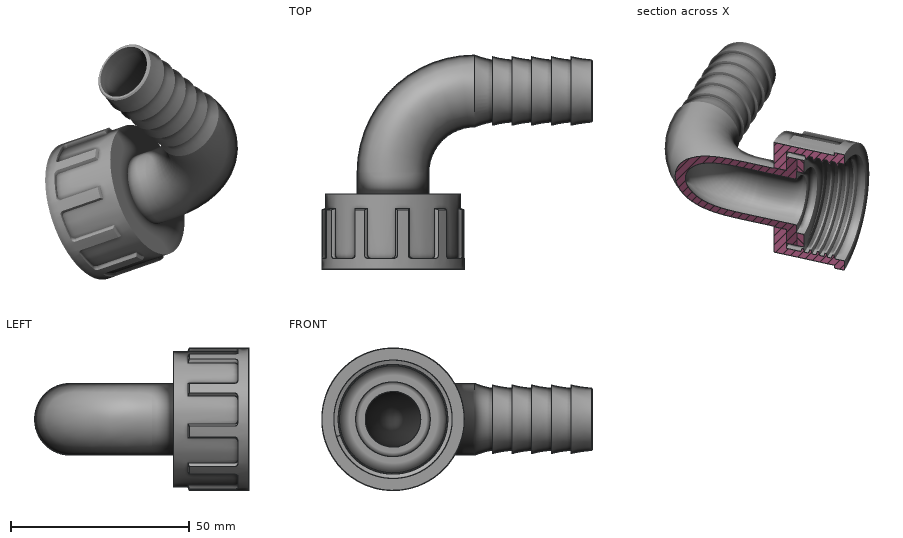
import cadquery as cq
import math


TOTAL_LENGTH = 76.0
TOTAL_DEPTH = 60.1

NUT_LENGTH = 21.2
NUT_RADIUS = 38.0 / 2
GRIP_RADIUS = 40.0 / 2
RIM_LENGTH = 3.1
RIB_END = 17.1
RIB_END_TAPER = 0.4
RIB_COUNT = 10
RIB_STEP = 360.0 / RIB_COUNT
RIB_OFFSET = 8.0
RIB_TOP_WIDTH = 3.05
RIB_BASE_WIDTH = 3.9
RIB_CORNER_FILLET = 0.9

THREAD_MAJOR_RADIUS = 33.2 / 2
THREAD_MINOR_RADIUS = 30.8 / 2
THREAD_PITCH = 2.3
THREAD_TURNS = 5.0
THREAD_START = 1.6
THREAD_START_ANGLE = 197.0
RIDGE_CREST_WIDTH = 0.45
RIDGE_ROOT_WIDTH = 1.4
RIDGE_ROOT_SINK = 0.15

WASHER_RADIUS = 30.0 / 2
WASHER_BORE_RADIUS = 21.0 / 2
WASHER_FACE = 12.1
WASHER_THICKNESS = 2.2

PIPE_RADIUS = 20.15 / 2
PIPE_BORE_RADIUS = 15.6 / 2
BEND_RADIUS = 22.9
TAIL_AXIS_Y = TOTAL_DEPTH - PIPE_RADIUS
FLANGE_THICKNESS = 3.05
FLANGE_RADIUS = WASHER_RADIUS
FLANGE_FACE = WASHER_FACE + WASHER_THICKNESS
FLANGE_BACK = FLANGE_FACE + FLANGE_THICKNESS

TAIL_END = TOTAL_LENGTH - GRIP_RADIUS
BARB_COUNT = 5
FIRST_BARB = 27.9
LAST_BARB = 49.9
BARB_PITCH = (LAST_BARB - FIRST_BARB) / (BARB_COUNT - 1)
BARB_RADIUS = 19.2 / 2
VALLEY_RADIUS = 17.5 / 2
VALLEY_LENGTH = 0.5
FLANK_SAG = 0.115
TAIL_END_CHAMFER = 0.4


def cylinder_along_y(radius, start, end):
    """Solid cylinder on the nut axis between two Y positions."""
    return cq.Workplane("XZ", origin=(0, start, 0)).circle(radius).extrude(start - end)


def grip_rib(angle):
    """Tapered rib prism at an angle from +Z toward +X, reaching past the grip radius."""
    slope = (RIB_BASE_WIDTH - RIB_TOP_WIDTH) / 2 / (GRIP_RADIUS - NUT_RADIUS)
    reach = 0.75
    inner_half = RIB_BASE_WIDTH / 2 + slope * reach
    outer_half = RIB_TOP_WIDTH / 2 - slope * reach
    inner = NUT_RADIUS - reach
    outer = GRIP_RADIUS + reach
    return (
        cq.Workplane("XZ")
        .polyline([(-inner_half, inner), (inner_half, inner), (outer_half, outer), (-outer_half, outer)])
        .close()
        .extrude(-RIB_END)
        .rotate((0, 0, 0), (0, 1, 0), angle)
    )


def nut_outside():
    """Nut body with its front rim, grip ribs and the rounded corners between them."""
    grip_envelope = (
        cq.Workplane("XY")
        .polyline([
            (0, 0),
            (GRIP_RADIUS, 0),
            (GRIP_RADIUS, RIB_END - RIB_END_TAPER),
            (NUT_RADIUS, RIB_END),
            (0, RIB_END),
        ])
        .close()
        .revolve(360, (0, 0, 0), (0, 1, 0))
    )
    body = cylinder_along_y(NUT_RADIUS, 0, NUT_LENGTH)
    body = body.union(cylinder_along_y(GRIP_RADIUS, 0, RIM_LENGTH))
    for index in range(RIB_COUNT):
        rib = grip_rib(RIB_OFFSET + index * RIB_STEP).intersect(grip_envelope)
        body = body.union(rib)
    margin = 0.1
    rim_corners = (
        body.edges("%LINE")
        .edges(cq.selectors.BoxSelector(
            (-GRIP_RADIUS, RIM_LENGTH - margin, -GRIP_RADIUS),
            (GRIP_RADIUS, RIM_LENGTH + margin, GRIP_RADIUS),
        ))
    )
    return rim_corners.fillet(RIB_CORNER_FILLET)


def thread_ridge():
    """Right-handed helical ridge that stands inward from the nut's bore."""
    root = THREAD_MAJOR_RADIUS + RIDGE_ROOT_SINK
    helix = cq.Wire.makeHelix(THREAD_PITCH, THREAD_PITCH * THREAD_TURNS, THREAD_MAJOR_RADIUS)
    ridge = (
        cq.Workplane("XZ")
        .polyline([
            (root, -RIDGE_ROOT_WIDTH / 2),
            (THREAD_MINOR_RADIUS, -RIDGE_CREST_WIDTH / 2),
            (THREAD_MINOR_RADIUS, RIDGE_CREST_WIDTH / 2),
            (root, RIDGE_ROOT_WIDTH / 2),
        ])
        .close()
        .sweep(cq.Workplane(helix), isFrenet=True)
    )
    return (
        ridge.rotate((0, 0, 0), (1, 0, 0), -90)
        .rotate((0, 0, 0), (0, 1, 0), -THREAD_START_ANGLE)
        .translate((0, THREAD_START, 0))
    )


def make_nut():
    """Nut with its bore, its thread and the hole in its floor for the pipe."""
    nut = nut_outside()
    nut = nut.cut(cylinder_along_y(THREAD_MAJOR_RADIUS, 0, FLANGE_BACK))
    nut = nut.cut(cylinder_along_y(PIPE_RADIUS, FLANGE_BACK, NUT_LENGTH))
    return nut.union(thread_ridge())


def make_washer():
    """Flat ring between the open thread and the elbow's flange."""
    washer = cylinder_along_y(WASHER_RADIUS, WASHER_FACE, FLANGE_FACE)
    return washer.cut(cylinder_along_y(WASHER_BORE_RADIUS, WASHER_FACE, FLANGE_FACE))


def bent_rod(radius):
    """Solid rod from the flange face, round the bend, to the start of the barbed tail."""
    bend_start = TAIL_AXIS_Y - BEND_RADIUS
    half_bend = math.radians(90 / 2)
    bend_middle = (
        BEND_RADIUS * (1 - math.cos(half_bend)),
        bend_start + BEND_RADIUS * math.sin(half_bend),
    )
    path = (
        cq.Workplane("XY")
        .moveTo(0, FLANGE_FACE)
        .lineTo(0, bend_start)
        .threePointArc(bend_middle, (BEND_RADIUS, TAIL_AXIS_Y))
    )
    return cq.Workplane("XZ", origin=(0, FLANGE_FACE, 0)).circle(radius).sweep(path)


def hollow_flank(profile, start, end):
    """Add a slightly hollow flank from start to end, each given as (x, radius)."""
    middle = ((start[0] + end[0]) / 2, (start[1] + end[1]) / 2 - FLANK_SAG)
    return profile.threePointArc(middle, end)


def barbed_tail():
    """Hose tail with saw-tooth barbs, turned about the tail axis."""
    start = (BEND_RADIUS, PIPE_RADIUS)
    profile = cq.Workplane("XY", origin=(0, TAIL_AXIS_Y, 0)).moveTo(BEND_RADIUS, 0).lineTo(*start)
    for index in range(BARB_COUNT):
        step_x = FIRST_BARB + index * BARB_PITCH
        profile = hollow_flank(profile, start, (step_x - VALLEY_LENGTH, VALLEY_RADIUS))
        start = (step_x, BARB_RADIUS)
        profile = profile.lineTo(step_x, VALLEY_RADIUS).lineTo(*start)
    profile = hollow_flank(profile, start, (TAIL_END - TAIL_END_CHAMFER, VALLEY_RADIUS))
    profile = profile.lineTo(TAIL_END, VALLEY_RADIUS - TAIL_END_CHAMFER).lineTo(TAIL_END, 0).close()
    return profile.revolve(360, (0, 0, 0), (1, 0, 0))


def make_elbow():
    """Flanged elbow pipe with its barbed tail and a through bore."""
    tail_bore = (
        cq.Workplane("YZ", origin=(BEND_RADIUS, TAIL_AXIS_Y, 0))
        .circle(PIPE_BORE_RADIUS)
        .extrude(TAIL_END - BEND_RADIUS)
    )
    elbow = bent_rod(PIPE_RADIUS).union(barbed_tail())
    elbow = elbow.union(cylinder_along_y(FLANGE_RADIUS, FLANGE_FACE, FLANGE_BACK))
    return elbow.cut(bent_rod(PIPE_BORE_RADIUS)).cut(tail_bore)


nut = make_nut()
washer = make_washer()
elbow = make_elbow()

result = cq.Compound.makeCompound([nut.val(), washer.val(), elbow.val()])